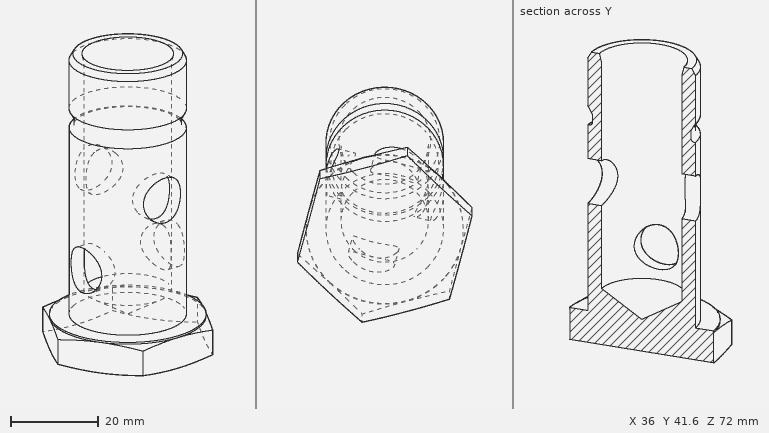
import cadquery as cq
import math

total_height = 72.0

across_flats = 36.0
head_height = 8.0
collar_height = 0.4
head_chamfer_angle = math.radians(15)

shank_radius = 26.9 / 2
end_radius = 27.0 / 2
tip_chamfer_height = 1.6
relief_angle = math.radians(30)

groove_radius = 24.7 / 2
groove_bottom = 53.85
groove_top = 58.5
groove_fillet = 0.9

bore_radius = 20.0 / 2
mouth_radius = 21.0 / 2
mouth_depth = 2.0
bore_floor = 14.0
drill_half_angle = math.radians(59)

cross_hole_diameter = 11.0
lower_hole_height = 22.0
upper_hole_height = 39.95


def make_head():
    """Hexagon with both ends chamfered from the inscribed circle, plus a collar."""
    flat_radius = across_flats / 2
    corner_radius = flat_radius / math.cos(math.radians(30))
    chamfer_height = (corner_radius - flat_radius) * math.tan(head_chamfer_angle)
    hex_height = head_height - collar_height
    hexagon = (
        cq.Workplane("XY")
        .polygon(6, 2 * corner_radius)
        .extrude(hex_height)
        .rotate((0, 0, 0), (0, 0, 1), 30)
    )
    envelope = (
        cq.Workplane("XZ")
        .moveTo(0, 0)
        .lineTo(flat_radius, 0)
        .lineTo(corner_radius, chamfer_height)
        .lineTo(corner_radius, hex_height - chamfer_height)
        .lineTo(flat_radius, hex_height)
        .lineTo(0, hex_height)
        .close()
        .revolve(360, (0, 0), (0, 1))
    )
    collar = cq.Workplane("XY").workplane(offset=hex_height).circle(flat_radius).extrude(collar_height)
    return hexagon.intersect(envelope).union(collar)


def make_shank():
    """Shank, undercut with filleted corners, and chamfered end section."""
    slope = math.tan(relief_angle)
    tip_radius = end_radius - tip_chamfer_height * slope
    cone_bottom = groove_top - (end_radius - groove_radius) / slope
    arc_center_r = groove_radius + groove_fillet
    arc_center_z = cone_bottom - groove_fillet * math.tan(relief_angle / 2)

    def arc_point(angle):
        return (
            arc_center_r - groove_fillet * math.cos(angle),
            arc_center_z + groove_fillet * math.sin(angle),
        )

    lower_arc_middle = (
        arc_center_r - groove_fillet * math.cos(math.radians(45)),
        groove_bottom + groove_fillet * (1 - math.sin(math.radians(45))),
    )
    return (
        cq.Workplane("XZ")
        .moveTo(0, 0)
        .lineTo(shank_radius, 0)
        .lineTo(shank_radius, groove_bottom)
        .lineTo(arc_center_r, groove_bottom)
        .threePointArc(lower_arc_middle, (groove_radius, groove_bottom + groove_fillet))
        .lineTo(groove_radius, arc_center_z)
        .threePointArc(arc_point(relief_angle / 2), arc_point(relief_angle))
        .lineTo(end_radius, groove_top)
        .lineTo(end_radius, total_height - tip_chamfer_height)
        .lineTo(tip_radius, total_height)
        .lineTo(0, total_height)
        .close()
        .revolve(360, (0, 0), (0, 1))
    )


def make_bore():
    """Blind bore with a conical bottom and a slightly tapered mouth."""
    point_depth = bore_radius / math.tan(drill_half_angle)
    return (
        cq.Workplane("XZ")
        .moveTo(0, bore_floor - point_depth)
        .lineTo(bore_radius, bore_floor)
        .lineTo(bore_radius, total_height - mouth_depth)
        .lineTo(mouth_radius, total_height)
        .lineTo(0, total_height)
        .close()
        .revolve(360, (0, 0), (0, 1))
    )


def make_cross_hole(plane, height):
    """Cylinder through the full shank, perpendicular to its axis."""
    return (
        cq.Workplane(plane)
        .center(0, height)
        .circle(cross_hole_diameter / 2)
        .extrude(across_flats / 2, both=True)
    )


result = (
    make_head()
    .union(make_shank())
    .cut(make_bore())
    .cut(make_cross_hole("XZ", lower_hole_height))
    .cut(make_cross_hole("YZ", upper_hole_height))
)